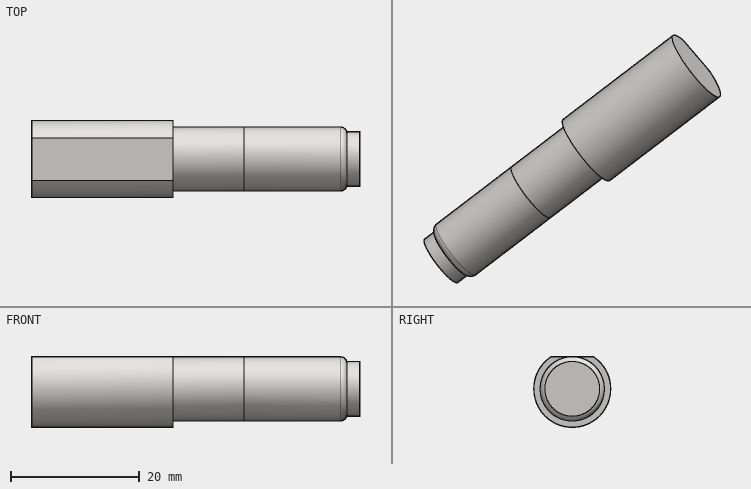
import cadquery as cq

total_length = 51.0
head_diameter = 12.0
head_length = 22.0
shank_diameter = 10.0
collar_length = 11.0
barrel_edge_radius = 1.0
tip_diameter = 8.5
tip_length = 2.0

barrel_start = head_length + collar_length
tip_start = total_length - tip_length
barrel_length = tip_start - barrel_start

flat_height = shank_diameter / 2


def round_bar(start, length, diameter):
    """Solid cylinder along +X that begins at X = start."""
    return cq.Workplane("YZ", origin=(start, 0, 0)).circle(diameter / 2).extrude(length)


def make_housing():
    """Thick round head with a flat along its top, followed by a narrower collar."""
    flat_cutter = cq.Workplane("XY").box(
        head_length, head_diameter, head_diameter, centered=(False, True, False)
    )
    flat_cutter = flat_cutter.translate((0, 0, flat_height))
    head = round_bar(0, head_length, head_diameter).cut(flat_cutter)
    collar = round_bar(head_length, collar_length, shank_diameter)
    return head.union(collar)


def make_barrel():
    """Round barrel that continues the collar and has a rounded outer end edge."""
    barrel = round_bar(barrel_start, barrel_length, shank_diameter)
    return barrel.faces(">X").edges().fillet(barrel_edge_radius)


def make_tip():
    """Short round tip that sits on the end face of the barrel."""
    return round_bar(tip_start, tip_length, tip_diameter)


housing = make_housing()
barrel = make_barrel()
tip = make_tip()

result = cq.Compound.makeCompound([housing.val(), barrel.val(), tip.val()])